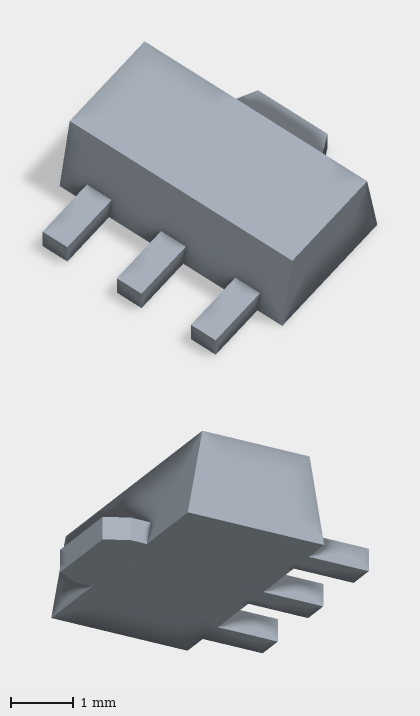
import cadquery as cq
import math

housing_length = 4.5
housing_depth = 2.5
housing_height = 1.51
wall_draft = 10.0

lead_width = 0.5
lead_height = 0.4
lead_pitch = 1.5
lead_reach = 1.1

tab_width = 1.8
tab_reach = 0.7
tab_corner_x = 0.2
tab_corner_y = 0.395

front_foot_y = -housing_depth / 2
back_foot_y = housing_depth / 2
lead_tip_y = front_foot_y - lead_reach
tab_tip_y = back_foot_y + tab_reach
top_depth = housing_depth - 2 * housing_height * math.tan(math.radians(wall_draft))


def make_housing_block():
    """Full trapezoidal block, before the recess for the centre lead."""
    return (
        cq.Workplane("YZ")
        .moveTo(front_foot_y, 0)
        .lineTo(back_foot_y, 0)
        .lineTo(top_depth / 2, housing_height)
        .lineTo(-top_depth / 2, housing_height)
        .close()
        .extrude(housing_length / 2, both=True)
    )


def make_lead_bar(x, end_y):
    """Straight bar from the lead tips back to end_y, centred on x."""
    bar_length = end_y - lead_tip_y
    return (
        cq.Workplane("XY")
        .box(lead_width, bar_length, lead_height, centered=(True, False, False))
        .translate((x, lead_tip_y, 0))
    )


def make_side_lead(x, block):
    """Lead that butts against the sloping front wall."""
    return make_lead_bar(x, 0).cut(block)


def make_tab(block):
    """Plate with two cut corners that butts against the sloping back wall."""
    half_width = tab_width / 2
    tip_half_width = half_width - tab_corner_x
    corner_y = tab_tip_y - tab_corner_y
    plate = (
        cq.Workplane("XY")
        .moveTo(-half_width, 0)
        .lineTo(half_width, 0)
        .lineTo(half_width, corner_y)
        .lineTo(tip_half_width, tab_tip_y)
        .lineTo(-tip_half_width, tab_tip_y)
        .lineTo(-half_width, corner_y)
        .close()
        .extrude(lead_height)
    )
    return plate.cut(block)


def make_tab_lead(block):
    """Centre lead that runs under the housing and joins the tab."""
    return make_lead_bar(0, tab_tip_y).union(make_tab(block)).clean()


housing_block = make_housing_block()
tab_lead = make_tab_lead(housing_block)
housing = housing_block.cut(tab_lead)

side_leads = []
for side in (-1, 1):
    side_lead = make_side_lead(side * lead_pitch, housing_block)
    side_leads.append(side_lead.val())

result = cq.Compound.makeCompound([housing.val(), tab_lead.val(), *side_leads])